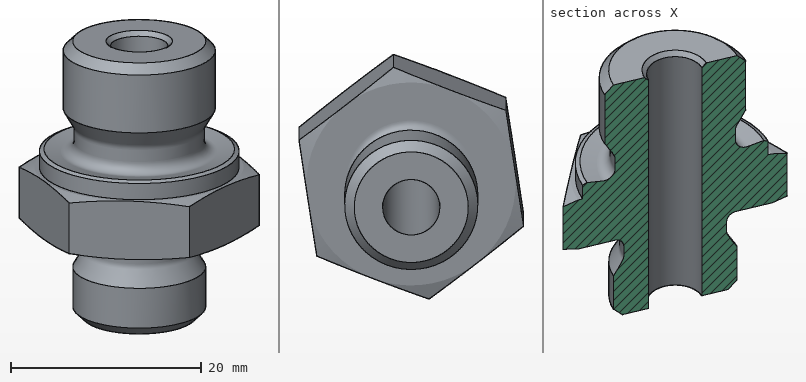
import cadquery as cq
import math

total_height = 30.5
hex_bottom_z = 10.0
hex_height = 6.5
flange_height = 2.0
hex_top_z = hex_bottom_z + hex_height
flange_top_z = hex_top_z + flange_height

hex_across_flats = 22.0
hex_corner_drop = 0.43

flange_radius = 21.0 / 2
rim_chamfer_width = 0.5
rim_chamfer_height = 0.2
face_dip_angle = math.radians(9)

upper_thread_radius = 16.0 / 2
upper_groove_radius = 13.7 / 2
upper_fillet = 1.2
upper_cone_start_z = 23.05
lower_thread_radius = 14.0 / 2
lower_groove_radius = 11.7 / 2
lower_fillet = 1.0
lower_cone_start_z = 5.43
end_chamfer = 1.0
relief_angle = math.radians(30)

bore_diameter = 6.0
bore_chamfer = 0.5


def relief_points(thread_radius, groove_radius, fillet, thread_end_z, direction):
    """Thread end, cone end, blend middle and groove start as (r, z).

    The blend is tangent to the cone and to the groove; direction is +1 or -1 along Z.
    """
    def on_blend(angle):
        return groove_radius + fillet * (1 - math.cos(angle))

    cone_end_radius = on_blend(relief_angle)
    cone_length = (thread_radius - cone_end_radius) / math.tan(relief_angle)
    cone_end_z = thread_end_z + direction * cone_length
    groove_z = cone_end_z + direction * fillet * math.sin(relief_angle)
    middle_angle = relief_angle / 2
    middle_z = groove_z - direction * fillet * math.sin(middle_angle)
    return (
        (thread_radius, thread_end_z),
        (cone_end_radius, cone_end_z),
        (on_blend(middle_angle), middle_z),
        (groove_radius, groove_z),
    )


def turned_body():
    """Both threaded ends, the grooves and the flange as one revolved outline."""
    lower_fillet_z = hex_bottom_z - lower_fillet
    quarter_middle = lower_fillet * math.sqrt(0.5)
    lower_middle = (
        lower_groove_radius + lower_fillet - quarter_middle,
        lower_fillet_z + quarter_middle,
    )

    rim_radius = flange_radius - rim_chamfer_width
    fillet_center_radius = upper_groove_radius + upper_fillet
    face_start_radius = fillet_center_radius + upper_fillet * math.sin(face_dip_angle)
    face_start_z = flange_top_z - (rim_radius - face_start_radius) * math.tan(face_dip_angle)
    fillet_center_z = face_start_z + upper_fillet * math.cos(face_dip_angle)
    middle_angle = (math.pi / 2 + face_dip_angle) / 2
    upper_middle = (
        fillet_center_radius - upper_fillet * math.cos(middle_angle),
        fillet_center_z - upper_fillet * math.sin(middle_angle),
    )

    lower = relief_points(
        lower_thread_radius, lower_groove_radius, lower_fillet, lower_cone_start_z, 1
    )
    upper = relief_points(
        upper_thread_radius, upper_groove_radius, upper_fillet, upper_cone_start_z, -1
    )

    outline = (
        cq.Workplane("XZ")
        .lineTo(lower_thread_radius - end_chamfer, 0)
        .lineTo(lower_thread_radius, end_chamfer)
        .lineTo(*lower[0])
        .lineTo(*lower[1])
        .threePointArc(lower[2], lower[3])
        .lineTo(lower_groove_radius, lower_fillet_z)
        .threePointArc(lower_middle, (lower_groove_radius + lower_fillet, hex_bottom_z))
        .lineTo(flange_radius, hex_bottom_z)
        .lineTo(flange_radius, flange_top_z - rim_chamfer_height)
        .lineTo(rim_radius, flange_top_z)
        .lineTo(face_start_radius, face_start_z)
        .threePointArc(upper_middle, (upper_groove_radius, fillet_center_z))
        .lineTo(*upper[3])
        .threePointArc(upper[2], upper[1])
        .lineTo(*upper[0])
        .lineTo(upper_thread_radius, total_height - end_chamfer)
        .lineTo(upper_thread_radius - end_chamfer, total_height)
        .lineTo(0, total_height)
        .close()
    )
    return outline.revolve(360, (0, 0, 0), (0, 1, 0))


def chamfered_hexagon():
    """Hexagon with corners along Y, trimmed by a cone at its top and bottom."""
    flat_radius = hex_across_flats / 2
    corner_radius = flat_radius / math.cos(math.radians(30))
    prism = (
        cq.Workplane("XY", origin=(0, 0, hex_bottom_z))
        .polygon(6, 2 * corner_radius)
        .extrude(hex_height)
        .rotate((0, 0, 0), (0, 0, 1), 30)
    )
    trim = (
        cq.Workplane("XZ")
        .moveTo(0, hex_bottom_z)
        .lineTo(flat_radius, hex_bottom_z)
        .lineTo(corner_radius, hex_bottom_z + hex_corner_drop)
        .lineTo(corner_radius, hex_top_z - hex_corner_drop)
        .lineTo(flat_radius, hex_top_z)
        .lineTo(0, hex_top_z)
        .close()
        .revolve(360, (0, 0, 0), (0, 1, 0))
    )
    return prism.intersect(trim)


def bore():
    """Through bore with a chamfered mouth at the top."""
    bore_radius = bore_diameter / 2
    return (
        cq.Workplane("XZ")
        .lineTo(bore_radius, 0)
        .lineTo(bore_radius, total_height - bore_chamfer)
        .lineTo(bore_radius + bore_chamfer, total_height)
        .lineTo(0, total_height)
        .close()
        .revolve(360, (0, 0, 0), (0, 1, 0))
    )


result = turned_body().union(chamfered_hexagon()).cut(bore())